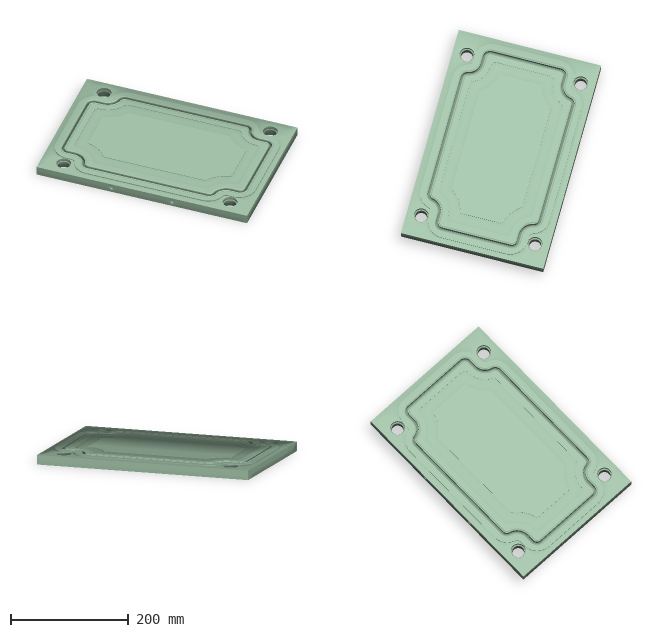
import cadquery as cq
import math

length = 380.0
width = 250.0
height = 18.0
pad_height = 1.5
plate_height = height - pad_height

pad_half_x = 180.5
pad_half_y = 113.2
pad_corner_radius = 30.0
notch_x = 140.5
notch_y = 94.0
pad_notch_radius = 7.2

outer_furrow_inset = 10.5
inner_furrow_inset = 18.0
furrow_width = 3.0
furrow_depth = 0.8
channel_outer_inset = outer_furrow_inset + furrow_width
channel_inner_inset = inner_furrow_inset
channel_depth = 6.0
seal_corner_radius = 15.5

moat_outer_inset = 31.0
moat_inner_inset = 51.0
moat_corner_radius = 8.0
moat_depth = 0.8

hole_x = 150.0
hole_y = 100.0
hole_diameter = 20.5
counterbore_diameter = 25.0
counterbore_depth = 5.0

port_x = 54.7
port_z = 9.5
port_diameter = 8.0
port_depth = 19.0
drill_point_angle = 118.0


def arc_point(center_x, center_y, radius, angle):
    """Point at the given angle on a circle."""
    return center_x + radius * math.cos(angle), center_y + radius * math.sin(angle)


def notched_quarter(inset, corner_radius):
    """Quarter of the pad outline moved inward by inset, with its outer corner rounded.

    Each notch is a round centred on (notch_x, notch_y), reached by a flat shelf on the
    end side. The corner arcs run smoothly into the shelf or into the round itself.
    """
    half_x = pad_half_x - inset
    half_y = pad_half_y - inset
    notch_radius = pad_notch_radius + inset
    reach = notch_radius + corner_radius

    end_x = half_x - corner_radius
    end_shift = max(notch_x - end_x, 0)
    end_y = notch_y - math.sqrt(reach**2 - end_shift**2)

    long_y = half_y - corner_radius
    long_x = notch_x - math.sqrt(reach**2 - (notch_y - long_y) ** 2)

    notch_start_angle = -math.pi / 2 - math.asin(end_shift / reach)
    notch_end_angle = math.asin((notch_y - long_y) / reach) - math.pi
    notch_middle_angle = (notch_start_angle + notch_end_angle) / 2
    notch_start = arc_point(notch_x, notch_y, notch_radius, notch_start_angle)
    notch_middle = arc_point(notch_x, notch_y, notch_radius, notch_middle_angle)
    notch_end = arc_point(notch_x, notch_y, notch_radius, notch_end_angle)

    quarter = cq.Workplane("XY").lineTo(half_x, 0).lineTo(half_x, end_y)
    if corner_radius > 0:
        stop_angle = notch_start_angle + math.pi
        end_middle = arc_point(end_x, end_y, corner_radius, stop_angle / 2)
        end_stop = arc_point(end_x, end_y, corner_radius, stop_angle)
        quarter = quarter.threePointArc(end_middle, end_stop)
    if end_x > notch_x:
        quarter = quarter.lineTo(*notch_start)
    quarter = quarter.threePointArc(notch_middle, notch_end)
    if corner_radius > 0:
        start_angle = notch_end_angle + math.pi
        long_middle = arc_point(long_x, long_y, corner_radius, (start_angle + math.pi / 2) / 2)
        quarter = quarter.threePointArc(long_middle, (long_x, half_y))
    return quarter.lineTo(0, half_y).close()


def mirrored(quarter):
    """Whole solid from the quarter in the +X +Y corner."""
    half = quarter.union(quarter.mirror("YZ"))
    return half.union(half.mirror("XZ")).clean()


def notched_block(inset, corner_radius, bottom, top):
    """Upright prism of a notched outline."""
    quarter = notched_quarter(inset, corner_radius).extrude(top - bottom)
    return mirrored(quarter).translate((0, 0, bottom))


def notched_frustum(bottom_inset, top_inset, bottom, top):
    """Solid with sloping sides between two seal outlines."""
    lower = notched_quarter(bottom_inset, seal_radius(bottom_inset)).val()
    upper = notched_quarter(top_inset, seal_radius(top_inset)).val()
    wires = [
        lower.translate(cq.Vector(0, 0, bottom)),
        upper.translate(cq.Vector(0, 0, top)),
    ]
    quarter = cq.Solid.makeLoft(wires, True)
    return mirrored(cq.Workplane(obj=quarter))


def ring(outer_inset, outer_radius, inner_inset, inner_radius, depth):
    """Band between two notched outlines, cut down from the pad top."""
    floor = height - depth
    outer = notched_block(outer_inset, outer_radius, floor, height)
    inner = notched_block(inner_inset, inner_radius, floor, height)
    return outer.cut(inner)


def seal_radius(inset):
    """Corner radius that keeps every seal outline parallel to the outermost one."""
    return seal_corner_radius - (inset - outer_furrow_inset)


def furrow(inset):
    """V-shaped ring in the pad top, starting at inset and furrow_width wide."""
    bottom = height - furrow_depth
    valley = inset + furrow_width / 2
    far_side = inset + furrow_width
    outer = notched_frustum(valley, inset, bottom, height)
    inner = notched_frustum(valley, far_side, bottom, height)
    return outer.cut(inner)


def corner_cylinders(diameter, bottom):
    """Upright cylinders at the four corner holes, from bottom to the plate top."""
    return (
        cq.Workplane("XY", origin=(0, 0, bottom))
        .rect(2 * hole_x, 2 * hole_y, forConstruction=True)
        .vertices()
        .circle(diameter / 2)
        .extrude(plate_height - bottom)
    )


def port(x):
    """Blind hole with a drill point, running inward from the front side."""
    radius = port_diameter / 2
    point_length = radius / math.tan(math.radians(drill_point_angle / 2))
    profile = [
        (0, 0),
        (radius, 0),
        (radius, port_depth),
        (0, port_depth + point_length),
    ]
    drill = cq.Workplane("XY").polyline(profile).close().revolve(360, (0, 0), (0, 1))
    return drill.translate((x, -width / 2, port_z))


plate = cq.Workplane("XY").box(length, width, plate_height, centered=(True, True, False))
pad = notched_block(0, pad_corner_radius, plate_height, height)
result = plate.union(pad)

channel = ring(
    channel_outer_inset,
    seal_radius(channel_outer_inset),
    channel_inner_inset,
    seal_radius(channel_inner_inset),
    channel_depth,
)
result = result.cut(channel)
result = result.cut(furrow(outer_furrow_inset))
result = result.cut(furrow(inner_furrow_inset))
result = result.cut(ring(moat_outer_inset, moat_corner_radius, moat_inner_inset, 0, moat_depth))

result = (
    result.cut(corner_cylinders(hole_diameter, 0))
    .cut(corner_cylinders(counterbore_diameter, plate_height - counterbore_depth))
)

for side in (-1, 1):
    result = result.cut(port(side * port_x))